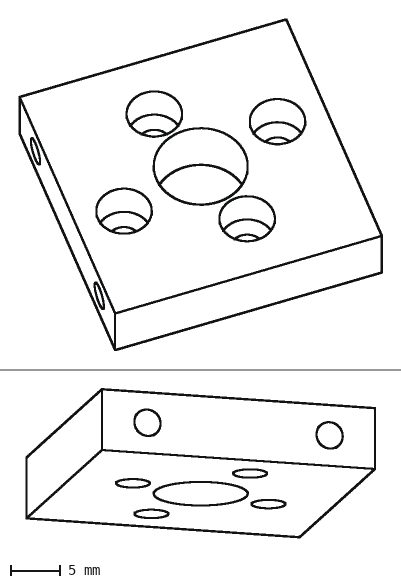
import cadquery as cq
import math

side = 28.57
thickness = 6.35
bore_diameter = 9.49

pattern_angle = 16.0
near_pair_spacing = 16.03
far_pair_spacing = 19.05
screw_diameter = 3.4
head_diameter = 5.6
head_depth = 4.0
seat_cone_angle = 90.0

side_hole_diameter = 2.75
side_hole_spacing = 19.05
side_hole_depth = 7.15
drill_tip_angle = 118.0


def cone_height(large_radius, small_radius, included_angle):
    return (large_radius - small_radius) / math.tan(math.radians(included_angle / 2))


def screw_hole_cutter():
    """Through hole below a cylindrical head recess with a conical seat."""
    head_radius = head_diameter / 2
    screw_radius = screw_diameter / 2
    seat_top = thickness - head_depth
    seat_bottom = seat_top - cone_height(head_radius, screw_radius, seat_cone_angle)
    profile = [
        (0, 0),
        (screw_radius, 0),
        (screw_radius, seat_bottom),
        (head_radius, seat_top),
        (head_radius, thickness),
        (0, thickness),
    ]
    return cq.Workplane("XZ").polyline(profile).close().revolve(360, (0, 0), (0, 1))


def side_hole_cutter():
    """Blind hole along +Y from the -Y side, ending in a drill point."""
    radius = side_hole_diameter / 2
    entry = -side / 2
    shoulder = entry + side_hole_depth
    tip = shoulder + cone_height(radius, 0, drill_tip_angle)
    profile = [(0, entry), (radius, entry), (radius, shoulder), (0, tip)]
    return cq.Workplane("XY").polyline(profile).close().revolve(360, (0, 0), (0, 1))


result = cq.Workplane("XY").box(side, side, thickness, centered=(True, True, False))
result = result.faces(">Z").workplane().hole(bore_diameter)

for spacing, pair_angle in [
    (near_pair_spacing, pattern_angle),
    (far_pair_spacing, pattern_angle + 90),
]:
    for angle in (pair_angle, pair_angle + 180):
        x = spacing / 2 * math.cos(math.radians(angle))
        y = spacing / 2 * math.sin(math.radians(angle))
        result = result.cut(screw_hole_cutter().translate((x, y, 0)))

for x in (-side_hole_spacing / 2, side_hole_spacing / 2):
    result = result.cut(side_hole_cutter().translate((x, 0, thickness / 2)))